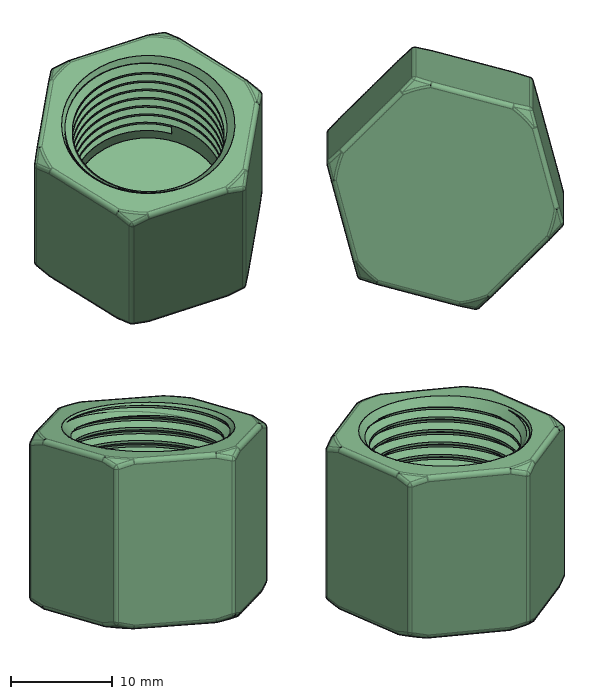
import cadquery as cq
import math

WIDTH_ACROSS_CORNERS = 24.08
HEIGHT = 17.5
SIDES = 6
EDGE_RADIUS = 0.5
HALF_SIDE_ANGLE = math.pi / SIDES
CORNER_SETBACK = EDGE_RADIUS * (1 / math.cos(HALF_SIDE_ANGLE) - 1)
SHARP_CORNER_DIAMETER = WIDTH_ACROSS_CORNERS + 2 * CORNER_SETBACK

BEVEL_SLOPE = math.radians(30)
BEVEL_END_RADIUS = 10.95

MINOR_RADIUS = 14.95 / 2
MOUTH_RADIUS = 17.05 / 2
BORE_DEPTH = 12.05
THREAD_PITCH = 1.35
THREAD_DEPTH = 0.85
THREAD_ROOT_FLAT = 0.22
FLANK_ANGLE = math.radians(27.5)
THREAD_RUNOUT = 1.69
THREAD_START_ANGLE = 110
CUTTER_OVERLAP = 0.12


def hexagonal_body():
    body = cq.Workplane("XY").polygon(SIDES, SHARP_CORNER_DIAMETER).extrude(HEIGHT)
    corner_radius = SHARP_CORNER_DIAMETER / 2
    bevel_height = (corner_radius - BEVEL_END_RADIUS) * math.tan(BEVEL_SLOPE)
    envelope = (
        cq.Workplane("XZ")
        .moveTo(0, 0)
        .lineTo(BEVEL_END_RADIUS, 0)
        .lineTo(corner_radius, bevel_height)
        .lineTo(corner_radius, HEIGHT - bevel_height)
        .lineTo(BEVEL_END_RADIUS, HEIGHT)
        .lineTo(0, HEIGHT)
        .close()
        .revolve(360, (0, 0, 0), (0, 1, 0))
    )
    return body.intersect(envelope).edges().fillet(EDGE_RADIUS)


def bore():
    mouth_chamfer = MOUTH_RADIUS - MINOR_RADIUS
    return (
        cq.Workplane("XZ")
        .moveTo(0, HEIGHT - BORE_DEPTH)
        .lineTo(MINOR_RADIUS, HEIGHT - BORE_DEPTH)
        .lineTo(MINOR_RADIUS, HEIGHT - mouth_chamfer)
        .lineTo(MOUTH_RADIUS, HEIGHT)
        .lineTo(0, HEIGHT)
        .close()
        .revolve(360, (0, 0, 0), (0, 1, 0))
    )


def thread_groove():
    """Helical trapezoid groove that runs up and out of the bore mouth."""
    start = HEIGHT - BORE_DEPTH + THREAD_RUNOUT
    inner_radius = MINOR_RADIUS - CUTTER_OVERLAP
    root_radius = MINOR_RADIUS + THREAD_DEPTH
    root_half_width = THREAD_ROOT_FLAT / 2
    inner_half_width = root_half_width + (root_radius - inner_radius) * math.tan(FLANK_ANGLE)
    path = cq.Wire.makeHelix(THREAD_PITCH, HEIGHT - start + THREAD_PITCH, MINOR_RADIUS)
    groove = (
        cq.Workplane("XZ")
        .moveTo(inner_radius, -inner_half_width)
        .lineTo(root_radius, -root_half_width)
        .lineTo(root_radius, root_half_width)
        .lineTo(inner_radius, inner_half_width)
        .close()
        .sweep(cq.Workplane(path), isFrenet=True)
    )
    return groove.translate((0, 0, start)).rotate((0, 0, 0), (0, 0, 1), THREAD_START_ANGLE)


nut = hexagonal_body().cut(bore()).cut(thread_groove())
result = cq.Workplane(nut.solids().val())